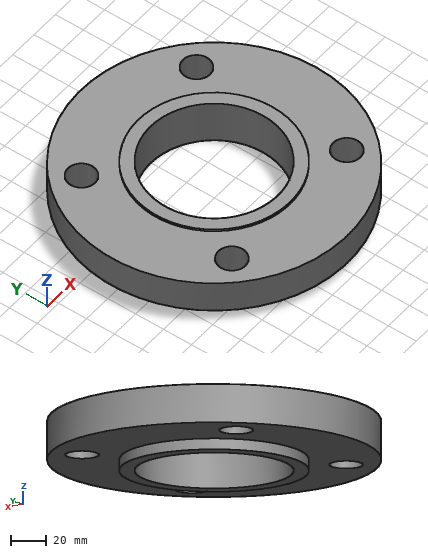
import cadquery as cq

flange_diameter = 190.5
total_height = 30.3

raised_face_height = 1.5
hub_height = 6.3
flange_thickness = total_height - raised_face_height - hub_height
collar_diameter = 108.2
bore_diameter = 90.7

bolt_circle_diameter = 152.4
bolt_hole_diameter = 19.2
bolt_count = 4
first_bolt_angle = 180.0 / bolt_count


def disc(diameter, bottom, height):
    """Solid disc on the Z axis, starting at the given height."""
    return cq.Workplane("XY").workplane(offset=bottom).circle(diameter / 2).extrude(height)


flange = disc(flange_diameter, hub_height, flange_thickness)
collar = disc(collar_diameter, 0, total_height)
body = flange.union(collar)

bore = disc(bore_diameter, 0, total_height)

bolt_holes = (
    cq.Workplane("XY")
    .workplane(offset=hub_height)
    .polarArray(bolt_circle_diameter / 2, first_bolt_angle, 360, bolt_count)
    .circle(bolt_hole_diameter / 2)
    .extrude(flange_thickness)
)

result = body.cut(bore).cut(bolt_holes)